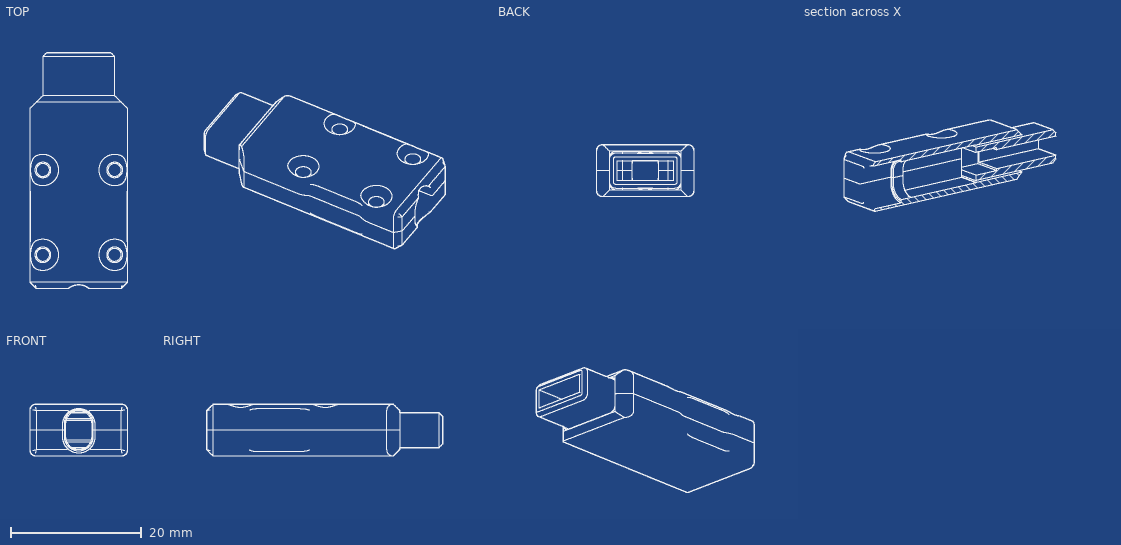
import cadquery as cq
import math

HOUSING_WIDTH = 15.0
HOUSING_LENGTH = 29.6
HOUSING_HEIGHT = 8.0
EDGE_RADIUS = 1.0
CABLE_END_CHAMFER = 1.0
PLUG_END_CHAMFER_Z = 1.0
PLUG_END_CHAMFER_X = 2.0

PLUG_WIDTH = HOUSING_WIDTH - 2 * PLUG_END_CHAMFER_X
PLUG_HEIGHT = 5.4
PLUG_TIP_Y = 36.2
PLUG_REAR_Y = 20.6
PLUG_EDGE_RADIUS = 1.0
PLUG_TIP_CHAMFER = 0.6
BORE_WIDTH = 8.6
BORE_HEIGHT = 3.0
SOCKET_STEP = 0.3
SOCKET_DEPTH = 4.0

PLUG_OPENING_HEIGHT = 5.9
WIRE_ROOM_WIDTH = 7.0
WIRE_ROOM_HEIGHT = 6.0

ENTRY_TOP_CENTRE_Z = 0.8
ENTRY_BOTTOM_CENTRE_Z = -1.0
ENTRY_RADIUS = 2.5
ENTRY_DEPTH = 6.0
ENTRY_RIM_RADIUS = 0.2
NECK_TOP_CENTRE_Z = 1.0
NECK_BOTTOM_CENTRE_Z = -NECK_TOP_CENTRE_Z
NECK_RADIUS = 2.0
NECK_LENGTH = 2.0
NECK_END_Y = ENTRY_DEPTH + NECK_LENGTH
NECK_MOUTH_FLARE = 0.2
NECK_MOUTH_DEPTH = 0.1

SCREW_X = 5.5
SCREW_ROWS_Y = (5.2, 18.2)
SCREW_CLEARANCE_DIAMETER = 2.4
COUNTERSINK_DIAMETER = 4.8
COUNTERSINK_ANGLE = 90.0
INSERT_DIAMETER = 2.8
INSERT_BORE_DIAMETER = 2.0
INSERT_LENGTH = 3.0

GRIP_ARC_Y = 14.2
GRIP_FRONT_Y = 6.6
GRIP_HALF_HEIGHT = 2.68
GRIP_CORNER_RADIUS = 1.1
GRIP_RIM_WIDTH = 0.75
GRIP_RIM_DEPTH = 0.2
GRIP_WALL_DEPTH = 0.3
GRIP_WALL_INSET = 0.6
GRIP_FLOOR_RADIUS = 1.45


def rounded_bar(width, height, radius, y_start, y_end):
    """Bar along Y with its four long edges rounded."""
    bar = cq.Workplane("XZ", origin=(0, y_start, 0)).rect(width, height).extrude(y_start - y_end)
    return bar.edges("|Y").fillet(radius)


def upright_slot(bottom_centre_z, top_centre_z, radius, y_start, y_end, taper=0):
    """Bar along Y with a slot-shaped section that stands upright in Z."""
    overall_length = top_centre_z - bottom_centre_z + 2 * radius
    middle_z = (top_centre_z + bottom_centre_z) / 2
    section = cq.Workplane("XZ", origin=(0, y_start, middle_z)).slot2D(overall_length, 2 * radius, 90)
    return section.extrude(y_start - y_end, taper=taper)


def housing_block():
    """Solid outside shape of the closed housing."""
    block = rounded_bar(HOUSING_WIDTH, HOUSING_HEIGHT, EDGE_RADIUS, 0, HOUSING_LENGTH)
    block = block.faces("<Y").chamfer(CABLE_END_CHAMFER)
    half_width = HOUSING_WIDTH / 2
    half_height = HOUSING_HEIGHT / 2
    for side in (-1, 1):
        side_wedge = (
            cq.Workplane("XY", origin=(0, 0, -half_height))
            .moveTo(side * half_width, HOUSING_LENGTH)
            .lineTo(side * (half_width - PLUG_END_CHAMFER_X), HOUSING_LENGTH)
            .lineTo(side * half_width, HOUSING_LENGTH - PLUG_END_CHAMFER_X)
            .close()
            .extrude(HOUSING_HEIGHT)
        )
        face_wedge = (
            cq.Workplane("YZ", origin=(-half_width, 0, 0))
            .moveTo(HOUSING_LENGTH, side * half_height)
            .lineTo(HOUSING_LENGTH, side * (half_height - PLUG_END_CHAMFER_Z))
            .lineTo(HOUSING_LENGTH - PLUG_END_CHAMFER_Z, side * half_height)
            .close()
            .extrude(HOUSING_WIDTH)
        )
        block = block.cut(side_wedge).cut(face_wedge)
    return block


def cut_cable_entry(block):
    """Slot for the cable with a rounded rim, then a narrower neck with a flared mouth."""
    entry = upright_slot(ENTRY_BOTTOM_CENTRE_Z, ENTRY_TOP_CENTRE_Z, ENTRY_RADIUS, 0, ENTRY_DEPTH)
    block = block.cut(entry)
    rim_half_width = ENTRY_RADIUS + ENTRY_RIM_RADIUS
    rim_box = cq.selectors.BoxSelector(
        (-rim_half_width, -CABLE_END_CHAMFER, -HOUSING_HEIGHT / 2),
        (rim_half_width, CABLE_END_CHAMFER, HOUSING_HEIGHT / 2),
    )
    block = block.edges(rim_box).fillet(ENTRY_RIM_RADIUS)

    neck = upright_slot(NECK_BOTTOM_CENTRE_Z, NECK_TOP_CENTRE_Z, NECK_RADIUS, ENTRY_DEPTH, NECK_END_Y)
    mouth = upright_slot(
        NECK_BOTTOM_CENTRE_Z,
        NECK_TOP_CENTRE_Z,
        NECK_RADIUS + NECK_MOUTH_FLARE,
        ENTRY_DEPTH,
        ENTRY_DEPTH + NECK_MOUTH_DEPTH,
        taper=math.degrees(math.atan2(NECK_MOUTH_FLARE, NECK_MOUTH_DEPTH)),
    )
    return block.cut(neck).cut(mouth)


def cut_hollow(block):
    """Room for the wires, and the opening that holds the plug."""
    wire_room = cq.Workplane("XY", origin=(0, NECK_END_Y, 0)).box(
        WIRE_ROOM_WIDTH, PLUG_REAR_Y - NECK_END_Y, WIRE_ROOM_HEIGHT, centered=(True, False, True)
    )
    opening = rounded_bar(
        PLUG_WIDTH, PLUG_OPENING_HEIGHT, PLUG_EDGE_RADIUS, PLUG_REAR_Y, HOUSING_LENGTH
    )
    return block.cut(wire_room).cut(opening)


def grip_outline(depth, offset):
    """D outline on a side plane, grown by offset; drawn in Y and Z at the given depth."""
    radius = GRIP_HALF_HEIGHT + offset
    corner = GRIP_CORNER_RADIUS + offset
    front = GRIP_FRONT_Y - offset
    diagonal = corner * math.sqrt(0.5)
    corner_y = front + corner
    corner_z = radius - corner
    return (
        cq.Workplane("YZ", origin=(HOUSING_WIDTH / 2 - depth, 0, 0))
        .moveTo(GRIP_ARC_Y, -radius)
        .threePointArc((GRIP_ARC_Y + radius, 0), (GRIP_ARC_Y, radius))
        .lineTo(corner_y, radius)
        .threePointArc((corner_y - diagonal, corner_z + diagonal), (front, corner_z))
        .lineTo(front, -corner_z)
        .threePointArc((corner_y - diagonal, -corner_z - diagonal), (corner_y, -radius))
        .close()
    )


def grip_cutter():
    """Recess of the +X side: sloped rim, drafted wall and a floor with a rounded edge."""
    wall_taper = math.degrees(math.atan2(GRIP_WALL_INSET, GRIP_WALL_DEPTH))
    rim_taper = math.degrees(math.atan2(GRIP_RIM_WIDTH, GRIP_RIM_DEPTH))
    rim = grip_outline(0, GRIP_RIM_WIDTH).extrude(-GRIP_RIM_DEPTH, taper=rim_taper)
    well = grip_outline(GRIP_RIM_DEPTH, 0).extrude(-GRIP_WALL_DEPTH, taper=wall_taper)
    well = well.faces("<X").edges().fillet(GRIP_FLOOR_RADIUS)
    return rim.union(well)


def cut_grips(block):
    cutter = grip_cutter()
    return block.cut(cutter).cut(cutter.mirror("YZ"))


def screw_positions():
    return [(x, y) for x in (-SCREW_X, SCREW_X) for y in SCREW_ROWS_Y]


def housing_halves():
    """Top half with countersunk screw holes, bottom half with pockets for the inserts."""
    shell = cut_grips(cut_hollow(cut_cable_entry(housing_block())))
    top_space = cq.Workplane("XY").box(
        HOUSING_WIDTH, HOUSING_LENGTH, HOUSING_HEIGHT / 2, centered=(True, False, False)
    )
    top = (
        shell.intersect(top_space)
        .copyWorkplane(cq.Workplane("XY", origin=(0, 0, HOUSING_HEIGHT / 2)))
        .pushPoints(screw_positions())
        .cskHole(SCREW_CLEARANCE_DIAMETER, COUNTERSINK_DIAMETER, COUNTERSINK_ANGLE)
    )
    pockets = (
        cq.Workplane("XY")
        .pushPoints(screw_positions())
        .circle(INSERT_DIAMETER / 2)
        .extrude(-INSERT_LENGTH)
    )
    bottom = shell.cut(top_space).cut(pockets)
    return top, bottom


def plug_tube():
    """Rounded tube with a chamfered tip and a wider socket at its rear."""
    tube = rounded_bar(PLUG_WIDTH, PLUG_HEIGHT, PLUG_EDGE_RADIUS, PLUG_REAR_Y, PLUG_TIP_Y)
    tube = tube.faces(">Y").chamfer(PLUG_TIP_CHAMFER)
    rear = cq.Workplane("XZ", origin=(0, PLUG_REAR_Y, 0))
    bore = rear.rect(BORE_WIDTH, BORE_HEIGHT).extrude(PLUG_REAR_Y - PLUG_TIP_Y)
    socket = rear.rect(BORE_WIDTH + 2 * SOCKET_STEP, BORE_HEIGHT + 2 * SOCKET_STEP).extrude(-SOCKET_DEPTH)
    return tube.cut(bore).cut(socket)


def threaded_insert(x, y):
    """Plain sleeve, flush with the split plane."""
    return (
        cq.Workplane("XY", origin=(x, y, 0))
        .circle(INSERT_DIAMETER / 2)
        .circle(INSERT_BORE_DIAMETER / 2)
        .extrude(-INSERT_LENGTH)
    )


housing_top, housing_bottom = housing_halves()
plug = plug_tube()
inserts = [threaded_insert(x, y) for x, y in screw_positions()]

result = cq.Compound.makeCompound(
    [housing_top.val(), housing_bottom.val(), plug.val(), *[insert.val() for insert in inserts]]
)